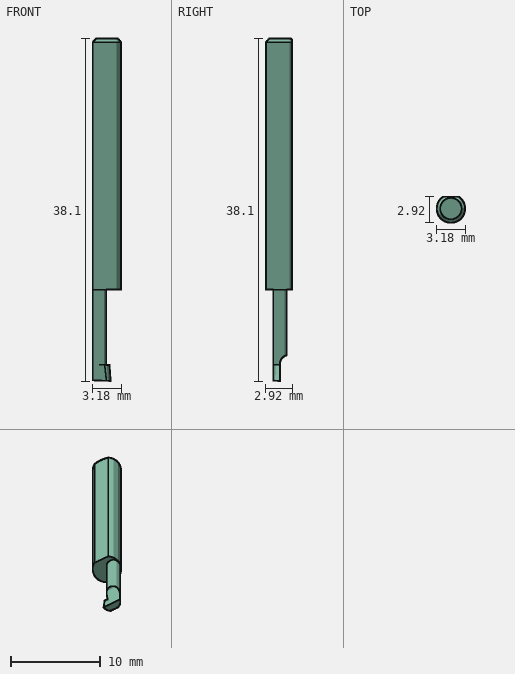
import cadquery as cq
import math

TOTAL_LENGTH = 38.1
SHANK_DIAMETER = 3.175
SHANK_RADIUS = SHANK_DIAMETER / 2
SHANK_LENGTH = 27.94
FLAT_TO_BACK = 2.92
FLAT_Y = FLAT_TO_BACK - SHANK_RADIUS
CHAMFER_RADIAL = 0.4
CHAMFER_HEIGHT = 0.4

NECK_DIAMETER = 1.54
NECK_RADIUS = NECK_DIAMETER / 2
NECK_X = NECK_RADIUS - SHANK_RADIUS
SHANK_BOTTOM = TOTAL_LENGTH - SHANK_LENGTH

RAKE_HEIGHT = 1.9
RUNOUT_RADIUS = 1.0

HEAD_TOP = 1.8
EDGE_X_BOTTOM = 0.43
EDGE_X_TOP = 0.3
HEEL_X_BOTTOM = -0.05
HEEL_X_TOP = -0.25
RELIEF_BULGE = 0.09

END_ANGLE = 2.0
END_CLEARANCE_ANGLE = 1.5

MARGIN = 1.0


def make_shank():
    shank = (
        cq.Workplane("XY")
        .workplane(offset=SHANK_BOTTOM)
        .circle(SHANK_RADIUS)
        .extrude(SHANK_LENGTH)
        .faces(">Z")
        .chamfer(CHAMFER_HEIGHT, CHAMFER_RADIAL)
    )
    flat_cutter = (
        cq.Workplane("XY")
        .box(SHANK_DIAMETER, SHANK_DIAMETER, TOTAL_LENGTH, centered=(True, False, False))
        .translate((0, FLAT_Y, 0))
    )
    return shank.cut(flat_cutter)


def make_neck():
    return (
        cq.Workplane("XY")
        .center(NECK_X, 0)
        .circle(NECK_RADIUS)
        .extrude(SHANK_BOTTOM)
    )


def head_section(sketch, heel_x, edge_x):
    """Section of the head right of the neck axis, with a convex relief side."""
    normal_x = NECK_RADIUS
    normal_y = heel_x - edge_x
    normal_length = math.hypot(normal_x, normal_y)
    relief_mid = (
        (heel_x + edge_x) / 2 + RELIEF_BULGE * normal_x / normal_length,
        -NECK_RADIUS / 2 + RELIEF_BULGE * normal_y / normal_length,
    )
    return (
        sketch.moveTo(NECK_X, 0)
        .lineTo(NECK_X, -NECK_RADIUS)
        .lineTo(heel_x, -NECK_RADIUS)
        .threePointArc(relief_mid, (edge_x, 0))
        .close()
    )


def make_head():
    lower = head_section(cq.Workplane("XY"), HEEL_X_BOTTOM, EDGE_X_BOTTOM)
    sections = head_section(lower.workplane(offset=HEAD_TOP), HEEL_X_TOP, EDGE_X_TOP)
    return sections.loft(ruled=True, combine=True)


def make_rake_cutter():
    """Removes everything with y > 0 near the tip; its upper end is a quarter arc tangent to y = 0."""
    far_y = RUNOUT_RADIUS
    sin_45 = math.sin(math.radians(45))
    arc_mid = (
        RUNOUT_RADIUS * (1 - sin_45),
        RAKE_HEIGHT + RUNOUT_RADIUS * sin_45,
    )
    return (
        cq.Workplane("YZ")
        .moveTo(0, -MARGIN)
        .lineTo(0, RAKE_HEIGHT)
        .threePointArc(arc_mid, (far_y, RAKE_HEIGHT + RUNOUT_RADIUS))
        .lineTo(far_y, -MARGIN)
        .close()
        .extrude(SHANK_DIAMETER, both=True)
    )


def make_end_cutter():
    """Tilted block below the end face, pivoting on the cutting corner."""
    size = 2 * SHANK_DIAMETER
    return (
        cq.Workplane("XY")
        .box(size, size, size)
        .translate((0, 0, -size / 2))
        .rotate((0, 0, 0), (0, 1, 0), END_ANGLE)
        .rotate((0, 0, 0), (1, 0, 0), -END_CLEARANCE_ANGLE)
        .translate((EDGE_X_BOTTOM, 0, 0))
    )


tip = make_neck().union(make_head()).cut(make_rake_cutter()).cut(make_end_cutter())
result = make_shank().union(tip)